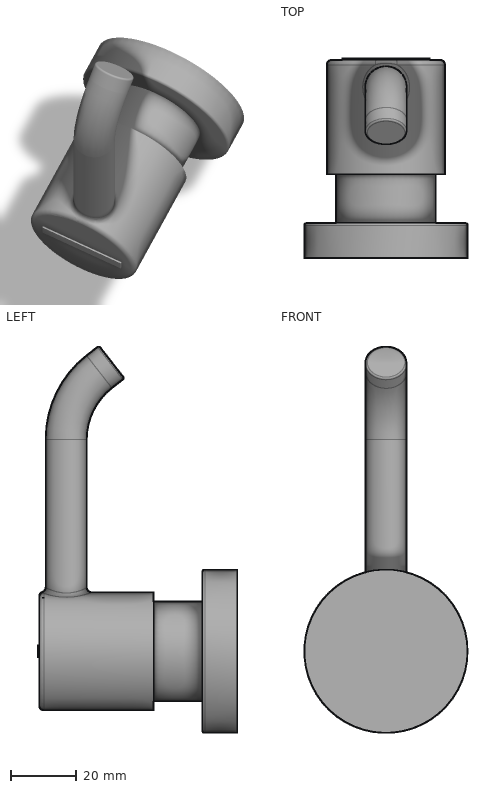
import cadquery as cq
import math

flange_diameter = 50.2
flange_depth = 10.8
flange_edge_radius = 0.7
neck_diameter = 30.8
hub_diameter = 36.3
hub_start = 25.8
hub_end = 60.9
hub_edge_radius = 1.4

badge_width = 27.0
badge_height = 3.8
total_depth = 61.4

rod_diameter = 12.7
rod_y = 52.6
total_height = 118.8
bend_radius = 26.4
bend_angle = math.radians(52)
tip_length = 4.9
tip_edge_radius = 0.6
root_radius = 1.4


def cylinder_along_y(diameter, start, end):
    plane = cq.Plane(origin=(0, start, 0), xDir=(1, 0, 0), normal=(0, 1, 0))
    return cq.Workplane(plane).circle(diameter / 2).extrude(end - start)


def bend_point(angle, start_z):
    """Point (Y, Z) on the rod centre line after bending through the angle."""
    y = rod_y - bend_radius * (1 - math.cos(angle))
    return y, start_z + bend_radius * math.sin(angle)


def make_lever():
    top_z = total_height - flange_diameter / 2
    tip_rise = tip_length * math.cos(bend_angle) + rod_diameter / 2 * math.sin(bend_angle)
    rounding_drop = tip_edge_radius * (math.sin(bend_angle) + math.cos(bend_angle) - 1)
    bend_start_z = top_z - tip_rise + rounding_drop - bend_radius * math.sin(bend_angle)
    bend_end = bend_point(bend_angle, bend_start_z)
    tip_end = (
        bend_end[0] - tip_length * math.sin(bend_angle),
        bend_end[1] + tip_length * math.cos(bend_angle),
    )
    path = (
        cq.Workplane("YZ")
        .moveTo(rod_y, 0)
        .lineTo(rod_y, bend_start_z)
        .threePointArc(bend_point(bend_angle / 2, bend_start_z), bend_end)
        .lineTo(*tip_end)
    )
    rod = cq.Workplane("XY", origin=(0, rod_y, 0)).circle(rod_diameter / 2).sweep(path)
    tip_edge = cq.selectors.NearestToPointSelector((0, *tip_end))
    return rod.faces(tip_edge).edges().fillet(tip_edge_radius)


def make_body():
    flange = cylinder_along_y(flange_diameter, 0, flange_depth)
    flange = flange.faces(">Y").edges().fillet(flange_edge_radius)
    neck = cylinder_along_y(neck_diameter, 0, hub_start)
    hub = cylinder_along_y(hub_diameter, hub_start, hub_end)
    return flange.union(neck).union(hub)


def join_lever(body, lever):
    """Join the lever, round its root, then round the back edge of the hub."""
    joined = body.union(lever)
    half_root = rod_diameter / 2 + root_radius
    root_zone = cq.selectors.BoxSelector(
        (-half_root, rod_y - half_root, hub_diameter / 2 - 2 * root_radius),
        (half_root, rod_y + half_root, hub_diameter / 2 + root_radius),
        boundingbox=True,
    )
    joined = joined.edges(root_zone).fillet(root_radius)
    return joined.faces(">Y").edges().fillet(hub_edge_radius)


def make_badge():
    badge_depth = total_depth - hub_end
    badge = cq.Workplane("XY").box(badge_width, 2 * badge_depth, badge_height)
    return badge.translate((0, hub_end, 0))


result = join_lever(make_body(), make_lever()).union(make_badge())